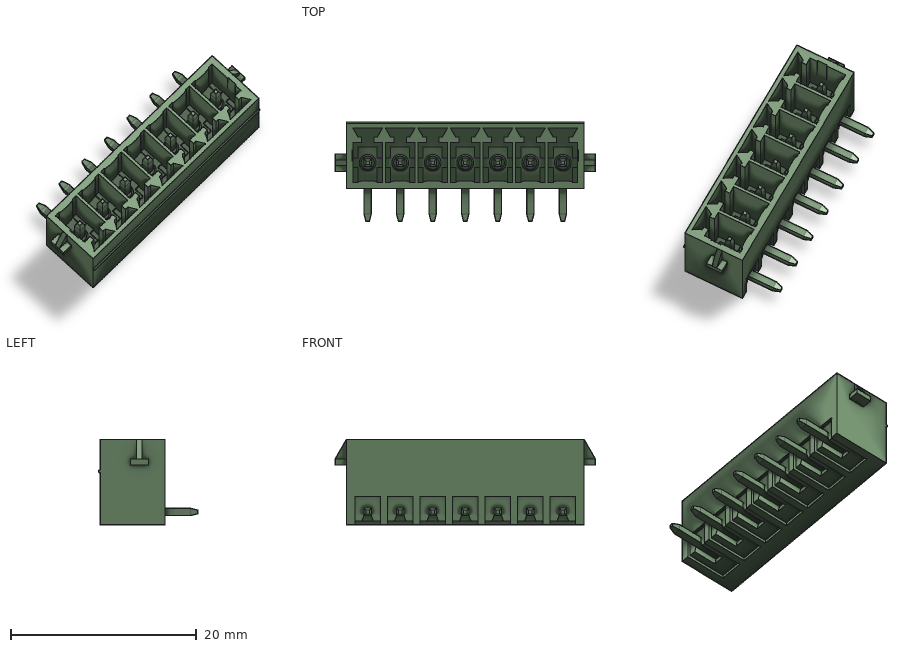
import cadquery as cq


POLES = 7
PITCH = 3.5
PIN_SIZE = 0.8
PIN_Y = 2.77
PIN_X = [(i - (POLES - 1) / 2) * PITCH for i in range(POLES)]

OVERALL_LENGTH = 28.0
NOSE_REACH = 1.2
LENGTH = OVERALL_LENGTH - 2 * NOSE_REACH
DEPTH = 7.0
HEIGHT = 9.2
BEAD_RADIUS = 0.17
BEAD_Z = 5.77

NOSE_WIDTH = 1.9
NOSE_TOP = HEIGHT - 2.1
NOSE_BOTTOM = HEIGHT - 2.77
RIB_WIDTH = 0.6

CELL_WIDTH = 3.15
CELL_FRONT = 0.67
CELL_BACK = 4.98
NECK_WIDTH = 1.37
NECK_BACK = 5.57
DOVETAIL_NARROW = 2.1
DOVETAIL_BACK = 6.5
FLOOR_Z = 3.35

PEDESTAL_WIDTH = 2.05
PEDESTAL_HEIGHT = 0.28
PEDESTAL_Z = FLOOR_Z + PEDESTAL_HEIGHT
PEDESTAL_BACK = 4.48
BAND_FRONT = 2.27
BAND_BACK = 3.3
COLLAR_BASE_DIAMETER = 1.8
COLLAR_TOP_DIAMETER = 1.43
COLLAR_HEIGHT = 0.15
SWELL_EDGE = 0.08
SWELL_RISE = 0.17

POCKET_DEPTH = 0.1
POCKET_HEIGHT = 3.35
POCKET_FRONT = 2.97
POCKET_BACK = 4.15

NOTCH_WIDTH = 2.75
NOTCH_HEIGHT = 3.05
NOTCH_DEPTH = 0.35
RELIEF_HEIGHT = 0.42
RELIEF_BACK = CELL_BACK
CHANNEL_MOUTH_WIDTH = 1.23
CHANNEL_BACK = PIN_Y + PIN_SIZE / 2

TAIL_REACH = 3.53
TAIL_Z = 1.4
PIN_TOP = 7.75
TIP_LENGTH = 0.8
TIP_SIZE = 0.4


def box(x_range, y_range, z_range):
    """Block between the given limits along each axis."""
    (x0, x1), (y0, y1), (z0, z1) = x_range, y_range, z_range
    return cq.Workplane("XY").box(x1 - x0, y1 - y0, z1 - z0, centered=False).translate((x0, y0, z0))


def centred(x, width):
    """Limits of a width centred on x."""
    return (x - width / 2, x + width / 2)


def back_bead():
    """Round rod along the back face; half of it stays inside the wall."""
    bead = cq.Workplane("YZ").center(DEPTH, BEAD_Z).circle(BEAD_RADIUS)
    return bead.extrude(LENGTH / 2, both=True)


def latch_nose(side):
    """Ledge with a sloping rib above it, on the +X (side = 1) or -X (side = -1) end."""
    wall = side * LENGTH / 2
    end = side * OVERALL_LENGTH / 2
    ledge = box(sorted((wall, end)), centred(PIN_Y, NOSE_WIDTH), (NOSE_BOTTOM, NOSE_TOP))
    rib = (
        cq.Workplane("XZ", origin=(0, PIN_Y, 0))
        .polyline([(wall, NOSE_TOP), (end, NOSE_TOP), (wall, HEIGHT)])
        .close()
        .extrude(RIB_WIDTH / 2, both=True)
    )
    return ledge.union(rib)


def chamber(x):
    """Plug space of one pole, with its cross pedestal and front swell left standing."""
    half = CELL_WIDTH / 2
    neck = NECK_WIDTH / 2
    narrow = DOVETAIL_NARROW / 2
    swell = PEDESTAL_WIDTH / 2
    swell_side = CELL_FRONT + SWELL_EDGE
    right_side = [
        (half, CELL_FRONT),
        (half, CELL_BACK),
        (neck, CELL_BACK),
        (neck, NECK_BACK),
        (narrow, NECK_BACK),
        (half, DOVETAIL_BACK),
    ]
    left_side = [(-px, py) for px, py in reversed(right_side)]
    space = (
        cq.Workplane("XY", origin=(x, 0, FLOOR_Z))
        .moveTo(-swell, CELL_FRONT)
        .lineTo(-swell, swell_side)
        .threePointArc((0, CELL_FRONT + SWELL_RISE), (swell, swell_side))
        .lineTo(swell, CELL_FRONT)
    )
    for point in right_side + left_side:
        space = space.lineTo(*point)
    space = space.close().extrude(HEIGHT - FLOOR_Z)
    rise = (FLOOR_Z, PEDESTAL_Z)
    pedestal = box(centred(x, PEDESTAL_WIDTH), (CELL_FRONT, PEDESTAL_BACK), rise)
    band = box(centred(x, CELL_WIDTH), (BAND_FRONT, BAND_BACK), rise)
    return space.cut(pedestal).cut(band)


def end_pocket(side):
    """Wedge cut from the outer side wall of the last chamber, deepest at the top edge."""
    wall = side * (PIN_X[-1] + CELL_WIDTH / 2)
    outline = [
        (wall, HEIGHT - POCKET_HEIGHT),
        (wall + side * POCKET_DEPTH, HEIGHT),
        (wall, HEIGHT),
    ]
    pocket = cq.Workplane("XZ", origin=(0, POCKET_FRONT, 0)).polyline(outline).close()
    return pocket.extrude(POCKET_FRONT - POCKET_BACK)


def collar(x):
    """Tapered disc standing on the pedestal; the shaft hole later passes through it."""
    return (
        cq.Workplane("XY", origin=(x, PIN_Y, PEDESTAL_Z))
        .circle(COLLAR_BASE_DIAMETER / 2)
        .workplane(offset=COLLAR_HEIGHT)
        .circle(COLLAR_TOP_DIAMETER / 2)
        .loft()
    )


def pin_entry(x):
    """Front notch, underside relief and channel through which one pin is fitted."""
    notch = box(centred(x, NOTCH_WIDTH), (0, NOTCH_DEPTH), (0, NOTCH_HEIGHT))
    relief = box(centred(x, NOTCH_WIDTH), (0, RELIEF_BACK), (0, RELIEF_HEIGHT))
    mouth = CHANNEL_MOUTH_WIDTH / 2
    side = PIN_SIZE / 2
    tail_bottom = TAIL_Z - side
    tail_top = TAIL_Z + side
    outline = [
        (-mouth, RELIEF_HEIGHT),
        (mouth, RELIEF_HEIGHT),
        (side, tail_bottom),
        (side, tail_top),
        (-side, tail_top),
        (-side, tail_bottom),
    ]
    channel = cq.Workplane("XZ", origin=(x, 0, 0)).polyline(outline).close().extrude(-CHANNEL_BACK)
    return notch.union(relief).union(channel)


def shaft_hole(x):
    """Square hole for the upright shaft of one pin."""
    return box(centred(x, PIN_SIZE), centred(PIN_Y, PIN_SIZE), (TAIL_Z, PEDESTAL_Z + COLLAR_HEIGHT))


def make_housing():
    body = box(centred(0, LENGTH), (0, DEPTH), (0, HEIGHT)).union(back_bead())
    for side in (-1, 1):
        body = body.union(latch_nose(side)).cut(end_pocket(side))
    for x in PIN_X:
        body = body.cut(chamber(x)).union(collar(x))
        body = body.cut(pin_entry(x)).cut(shaft_hole(x))
    return body


def make_pin(x):
    """Right-angle square pin, tapered at both ends."""
    half = PIN_SIZE / 2
    shaft = box(
        centred(x, PIN_SIZE),
        centred(PIN_Y, PIN_SIZE),
        (TAIL_Z - half, PIN_TOP - TIP_LENGTH),
    )
    tail = box(
        centred(x, PIN_SIZE),
        (TIP_LENGTH - TAIL_REACH, PIN_Y),
        centred(TAIL_Z, PIN_SIZE),
    )
    pin = shaft.union(tail)
    for face in (">Z", "<Y"):
        tip = (
            pin.faces(face)
            .workplane(centerOption="CenterOfMass")
            .rect(PIN_SIZE, PIN_SIZE)
            .workplane(offset=TIP_LENGTH)
            .rect(TIP_SIZE, TIP_SIZE)
            .loft(combine=False)
        )
        pin = pin.union(tip)
    return pin


housing = make_housing()
pins = [make_pin(x) for x in PIN_X]

result = cq.Compound.makeCompound(
    [housing.solids().val()] + [pin.solids().val() for pin in pins]
)